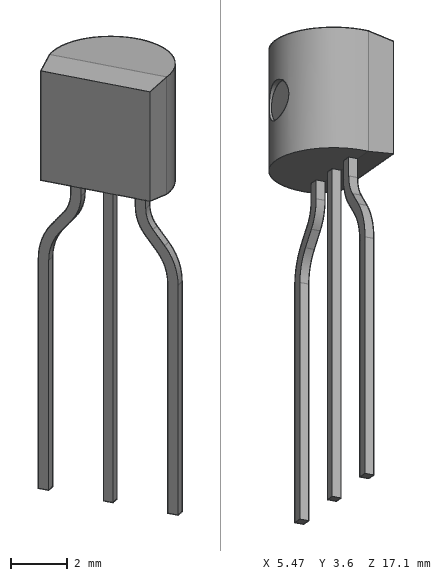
import cadquery as cq
import math


total_height = 17.1
body_width = 4.58
body_height = 4.6
body_depth = 3.6
front_depth = 1.1
front_taper = 8.0
back_depth = body_depth - front_depth

mark_diameter = 1.5
mark_depth = 0.2

lead_length = total_height - body_height
lead_thickness = 0.36
center_lead_width = 0.38
outer_lead_width = 0.41
pitch_at_body = 1.27
pitch_at_tip = 2.53
lead_embed = 0.17

neck_length = 0.72
bend_angle = math.radians(40)
upper_bend_radius = 1.4
lower_bend_radius = 2.03


def make_body():
    back = (
        cq.Workplane("XY")
        .moveTo(-body_width / 2, 0)
        .lineTo(body_width / 2, 0)
        .threePointArc((0, back_depth), (-body_width / 2, 0))
        .close()
        .extrude(body_height)
    )
    front = (
        cq.Workplane("XZ")
        .center(0, body_height / 2)
        .rect(body_width, body_height)
        .extrude(front_depth, taper=front_taper)
    )
    mark = (
        cq.Workplane("XZ", origin=(0, back_depth, body_height / 2))
        .circle(mark_diameter / 2)
        .extrude(mark_depth)
    )
    return back.union(front).cut(mark)


def make_center_lead():
    return cq.Workplane("XY").box(
        center_lead_width, lead_thickness, lead_length + lead_embed, centered=(True, False, False)
    ).translate((0, 0, -lead_length))


def bend_point(center, radius, angle):
    return (center[0] + radius * math.cos(angle), center[1] + radius * math.sin(angle))


def make_outer_lead():
    """Right-hand lead: down, out along a slope, then down again."""
    side_step = pitch_at_tip - pitch_at_body
    bend_step = (upper_bend_radius + lower_bend_radius) * (1 - math.cos(bend_angle))
    slope_drop = (side_step - bend_step) / math.tan(bend_angle)
    bend_drop = (upper_bend_radius + lower_bend_radius) * math.sin(bend_angle)
    upper_center = (pitch_at_body + upper_bend_radius, -neck_length)
    lower_center = (pitch_at_tip - lower_bend_radius, -neck_length - bend_drop - slope_drop)

    def trace_bends(offset):
        """Ends and middles of both bends, offset sideways from the centreline."""
        upper = upper_bend_radius - offset
        lower = lower_bend_radius + offset
        upper_points = [
            bend_point(upper_center, upper, math.pi + turn) for turn in (0, bend_angle / 2, bend_angle)
        ]
        lower_points = [
            bend_point(lower_center, lower, turn) for turn in (bend_angle, bend_angle / 2, 0)
        ]
        return upper_points, lower_points

    half_width = outer_lead_width / 2
    outside_upper, outside_lower = trace_bends(half_width)
    inside_upper, inside_lower = trace_bends(-half_width)
    return (
        cq.Workplane("XZ")
        .moveTo(pitch_at_body + half_width, lead_embed)
        .lineTo(*outside_upper[0])
        .threePointArc(*outside_upper[1:])
        .lineTo(*outside_lower[0])
        .threePointArc(*outside_lower[1:])
        .lineTo(pitch_at_tip + half_width, -lead_length)
        .lineTo(pitch_at_tip - half_width, -lead_length)
        .lineTo(*inside_lower[2])
        .threePointArc(inside_lower[1], inside_lower[0])
        .lineTo(*inside_upper[2])
        .threePointArc(inside_upper[1], inside_upper[0])
        .lineTo(pitch_at_body - half_width, lead_embed)
        .close()
        .extrude(-lead_thickness)
    )


right_lead = make_outer_lead()
left_lead = right_lead.mirror("YZ")
result = make_body().union(make_center_lead()).union(right_lead).union(left_lead)